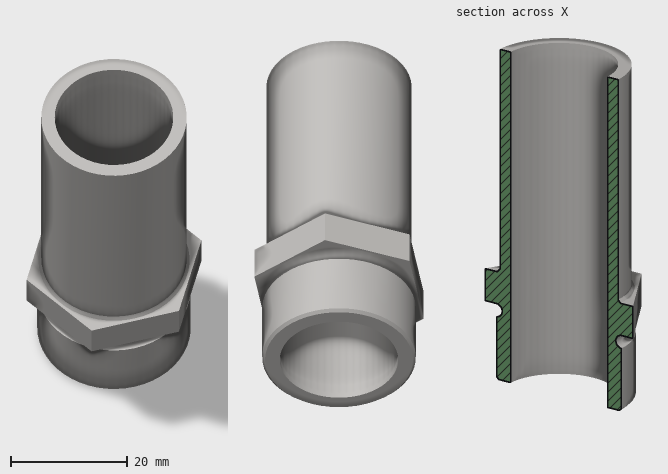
import cadquery as cq
import math

total_height = 61.0
bore_diameter = 20.4
tube_diameter = 25.0

collar_diameter = 26.4
collar_height = 11.6
collar_chamfer = 0.5
groove_diameter = 24.1

hex_across_flats = 27.0
hex_bottom = 13.9
hex_height = 6.0
hex_top = hex_bottom + hex_height

shoulder_diameter = 26.0
shoulder_height = 0.55


def cylinder(diameter, bottom, top):
    return cq.Workplane("XY").workplane(offset=bottom).circle(diameter / 2).extrude(top - bottom)


def make_collar():
    return cylinder(collar_diameter, 0, collar_height).faces("<Z").chamfer(collar_chamfer)


def make_hexagon():
    across_corners = hex_across_flats / math.cos(math.pi / 6)
    return (
        cq.Workplane("XY")
        .workplane(offset=hex_bottom)
        .transformed(rotate=(0, 0, 90))
        .polygon(6, across_corners)
        .extrude(hex_height)
    )


def make_groove_neck():
    """Neck between collar and hexagon, hollowed by one concave arc."""
    collar_radius = collar_diameter / 2
    groove_middle = (collar_height + hex_bottom) / 2
    return (
        cq.Workplane("XZ")
        .moveTo(0, collar_height)
        .lineTo(collar_radius, collar_height)
        .threePointArc((groove_diameter / 2, groove_middle), (collar_radius, hex_bottom))
        .lineTo(0, hex_bottom)
        .close()
        .revolve(360, (0, 0, 0), (0, 1, 0))
    )


def make_shoulder():
    """Short cone narrowing from the hexagon to the tube."""
    return (
        cq.Workplane("XZ")
        .moveTo(0, hex_top)
        .lineTo(shoulder_diameter / 2, hex_top)
        .lineTo(tube_diameter / 2, hex_top + shoulder_height)
        .lineTo(0, hex_top + shoulder_height)
        .close()
        .revolve(360, (0, 0, 0), (0, 1, 0))
    )


tube = cylinder(tube_diameter, hex_top, total_height)
body = make_collar().union(make_groove_neck()).union(make_hexagon()).union(make_shoulder()).union(tube)
result = body.cut(cylinder(bore_diameter, 0, total_height))